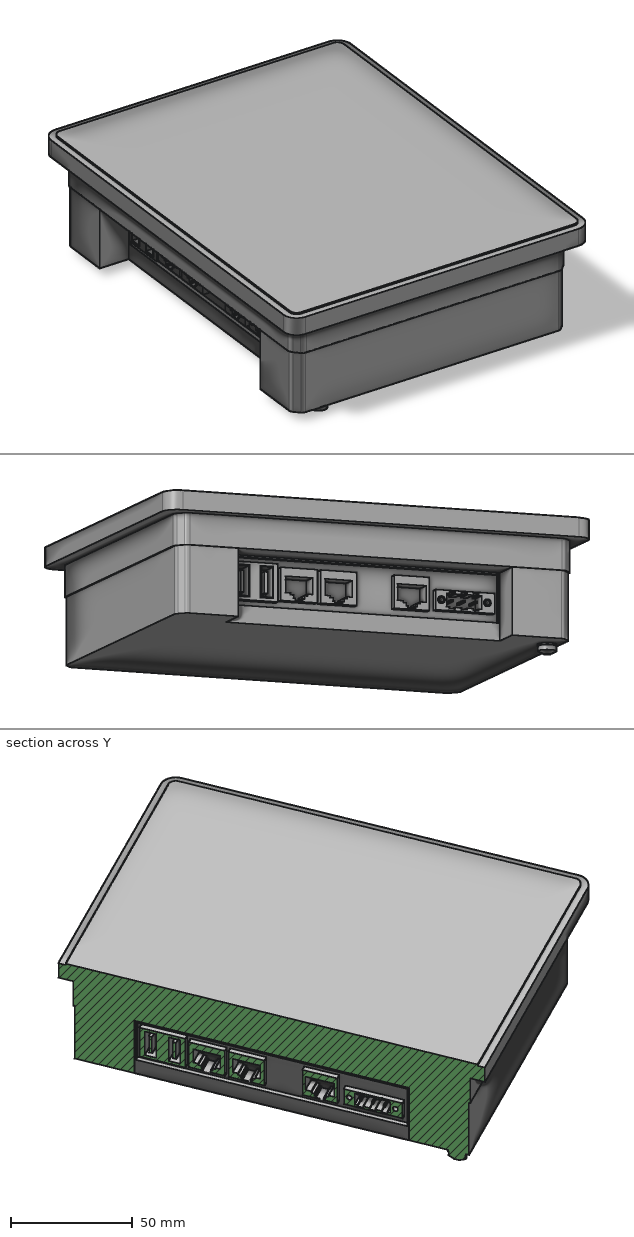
import cadquery as cq
import math


OVERLAP = 0.2

bezel_x, bezel_y = 187.0, 147.0
bezel_thickness = 8.0
bezel_corner_radius = 6.5
glass_margin = 3.2
glass_thickness = 0.7

case_height = 28.5
collar_height = 13.3
collar_x, collar_y = 174.1, 134.8
housing_y = -0.4
case_inset = 0.5
corner_chamfer = 4.1
corner_blend_radius = 3.2
bezel_bottom = case_height + collar_height
bezel_top = bezel_bottom + bezel_thickness

notch_width = 120.2
notch_depth = 14.2
window_width = 119.0
window_top_gap = 0.7
window_height = 20.2
window_depth = 2.0
case_front_y = housing_y - (collar_y / 2 - case_inset)
notch_wall_y = case_front_y + notch_depth
panel_y = notch_wall_y + window_depth

connector_height = 3.0
connector_face_y = panel_y - connector_height
socket_depth = 7.5

usb_x = -47.9
usb_width, usb_top_drop, usb_bottom_drop = 20.2, 2.8, 18.7
usb_port_pitch = 10.5
usb_port_width, usb_port_height = 5.6, 13.3
usb_shell_wall = 0.4
usb_shell_height = 0.4
usb_tongue_width, usb_tongue_height = 1.5, 9.0
usb_tongue_recess = 0.7

jack_top_drop, jack_bottom_drop = 4.1, 18.0
jack_opening_top_drop = 7.7
jack_contact_drop = 14.5
jack_latch_steps = [(3.7, 15.3), (2.5, 16.6), (1.7, 17.4)]
jacks = [(-28.5, 15.9, 11.8), (-11.0, 15.9, 11.8), (21.1, 15.3, 12.5)]

terminal_x = 44.5
terminal_pins_x = 44.1
terminal_width, terminal_top_drop, terminal_bottom_drop = 25.8, 9.0, 17.4
terminal_opening_width, terminal_opening_height = 15.3, 5.6
terminal_key_width, terminal_key_height = 2.5, 7.0
terminal_pitch = 5.2
terminal_pin_size = 0.7
terminal_center_drop = 13.0
screw_offset = 10.1
screw_diameter, screw_hole_diameter = 3.0, 2.0
screw_insert_height = 0.4

foot_x, foot_y = 81.2, -52.4
foot_flange_diameter, foot_flange_height = 8.0, 0.7
foot_diameter, foot_tip_diameter = 7.7, 2.6
foot_height = 4.1
foot_taper_height = 1.3


def plate(size_x, size_y, corner_radius, bottom, thickness):
    """Rectangular plate with rounded corners."""
    blank = cq.Workplane("XY").workplane(offset=bottom).rect(size_x, size_y).extrude(thickness)
    return blank.edges("|Z").fillet(corner_radius)


def housing(inset, bottom, height):
    """Housing section with blended chamfer corners, offset inward by inset."""
    chamfer = corner_chamfer - inset * (2 - math.sqrt(2))
    blank = cq.Workplane("XY").rect(collar_x - 2 * inset, collar_y - 2 * inset).extrude(height)
    section = blank.edges("|Z").chamfer(chamfer).edges("|Z").fillet(corner_blend_radius - inset)
    return section.translate((0, housing_y, bottom))


def block(center_x, width, top_drop, bottom_drop, front_y, back_y):
    """Box between two Y positions, placed by its drops below the notch ceiling."""
    height = bottom_drop - top_drop
    box = cq.Workplane("XY").box(width, back_y - front_y, height, centered=(True, False, False))
    return box.translate((center_x, front_y, case_height - bottom_drop))


def centered_block(center_x, center_drop, width, height, front_y, back_y):
    """Box placed by the centre of its front face."""
    return block(center_x, width, center_drop - height / 2, center_drop + height / 2, front_y, back_y)


def rod(center_x, center_drop, diameter, front_y, back_y):
    """Round bar along Y, placed by its drop below the notch ceiling."""
    center = cq.Vector(center_x, front_y, case_height - center_drop)
    return cq.Workplane(cq.Solid.makeCylinder(diameter / 2, back_y - front_y, center, cq.Vector(0, 1, 0)))


def connector_body(center_x, width, top_drop, bottom_drop):
    """Connector housing standing on the panel at the back of the window."""
    return block(center_x, width, top_drop, bottom_drop, connector_face_y, panel_y + OVERLAP)


def add_usb(part):
    """Double USB block with two upright ports."""
    part = part.union(connector_body(usb_x, usb_width, usb_top_drop, usb_bottom_drop))
    center_drop = (usb_top_drop + usb_bottom_drop) / 2
    shell_y = connector_face_y - usb_shell_height
    socket_y = connector_face_y + socket_depth
    for side in (-1, 1):
        x = usb_x + side * usb_port_pitch / 2
        shell = centered_block(x, center_drop, usb_port_width, usb_port_height, shell_y, panel_y)
        cavity = centered_block(x, center_drop, usb_port_width - 2 * usb_shell_wall,
                                usb_port_height - 2 * usb_shell_wall, shell_y, socket_y)
        tongue = centered_block(x, center_drop, usb_tongue_width, usb_tongue_height,
                                connector_face_y + usb_tongue_recess, socket_y + OVERLAP)
        part = part.union(shell).cut(cavity).union(tongue)
    return part


def add_jack(part, x, body_width, opening_width):
    """Network jack with a stepped latch opening."""
    part = part.union(connector_body(x, body_width, jack_top_drop, jack_bottom_drop))
    steps = [(opening_width / 2, jack_contact_drop)] + jack_latch_steps
    for half_width, bottom_drop in steps:
        part = part.cut(block(x, 2 * half_width, jack_opening_top_drop, bottom_drop,
                              connector_face_y, connector_face_y + socket_depth))
    return part


def add_terminal(part):
    """Three-pin terminal header with a screw insert at each end."""
    part = part.union(connector_body(terminal_x, terminal_width, terminal_top_drop, terminal_bottom_drop))
    socket_y = connector_face_y + socket_depth
    part = part.cut(centered_block(terminal_pins_x, terminal_center_drop, terminal_opening_width,
                                   terminal_opening_height, connector_face_y, socket_y))
    for index in (-1, 0, 1):
        x = terminal_pins_x + index * terminal_pitch
        part = part.cut(centered_block(x, terminal_center_drop, terminal_key_width, terminal_key_height,
                                       connector_face_y, socket_y))
        part = part.union(centered_block(x, terminal_center_drop, terminal_pin_size, terminal_pin_size,
                                         connector_face_y, socket_y + OVERLAP))
    insert_y = connector_face_y - screw_insert_height
    for side in (-1, 1):
        x = terminal_pins_x + side * screw_offset
        part = part.union(rod(x, terminal_center_drop, screw_diameter, insert_y, panel_y))
        part = part.cut(rod(x, terminal_center_drop, screw_hole_diameter, insert_y, socket_y))
    return part


def foot():
    """Flanged round foot with a tapered end, revolved about its own axis."""
    flange_radius = foot_flange_diameter / 2
    radius = foot_diameter / 2
    outline = [
        (0, OVERLAP),
        (flange_radius, OVERLAP),
        (flange_radius, -foot_flange_height),
        (radius, -foot_flange_height),
        (radius, foot_taper_height - foot_height),
        (foot_tip_diameter / 2, -foot_height),
        (0, -foot_height),
    ]
    profile = cq.Workplane("XZ").polyline(outline).close()
    return profile.revolve(360, (0, 0), (0, 1)).translate((foot_x, foot_y, 0))


result = housing(case_inset, 0, case_height).union(housing(0, case_height, collar_height))
result = result.union(plate(bezel_x, bezel_y, bezel_corner_radius, bezel_bottom, bezel_thickness))
result = result.union(plate(bezel_x - 2 * glass_margin, bezel_y - 2 * glass_margin,
                            bezel_corner_radius - glass_margin, bezel_top, glass_thickness))

result = result.cut(block(0, notch_width, 0, case_height, case_front_y, notch_wall_y))
result = result.cut(block(0, window_width, window_top_gap, window_top_gap + window_height,
                          notch_wall_y, panel_y))

result = add_usb(result)
for jack_x, jack_width, jack_opening_width in jacks:
    result = add_jack(result, jack_x, jack_width, jack_opening_width)
result = add_terminal(result)
result = result.union(foot())